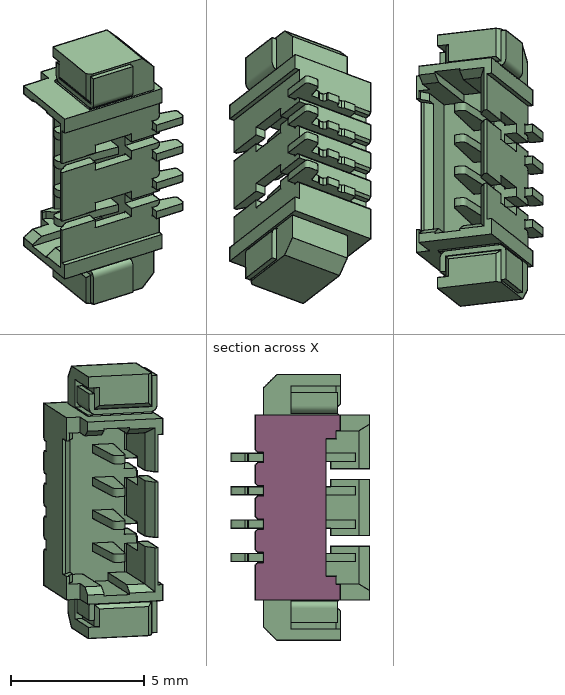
import cadquery as cq

HOUSING_WIDTH = 3.45
HOUSING_DEPTH = 4.30
HOUSING_HALF_HEIGHT = 3.47
CUT_CLEARANCE = 1.0

CORNER_SETBACK_X = 0.53
CORNER_SETBACK_Y = 1.10
PLAIN_WALL_FRONT_Y = 1.62
PLAIN_WALL_WINDOW_HALF_HEIGHT = 2.575
LEAD_IN_START_X = 0.12
CORNER_LEAD_IN_Y = 1.24
LEAD_IN_DEPTH = 0.31

CAVITY_MIN_X = 0.365
CAVITY_MAX_X = 2.86
CAVITY_HALF_HEIGHT = 2.875
CAVITY_FLOOR_Y = 3.06
FLOOR_BEVEL = 0.06
MOUTH_MAX_X = 3.14
MOUTH_HALF_HEIGHT = 3.12
MOUTH_LEAD_IN_DEPTH = 0.40
KEYWAY_MIN_X = 1.17
KEYWAY_MAX_X = 2.16
KEYWAY_HALF_HEIGHT = 3.18

SLOTTED_WALL_OUTER_X = 3.265
SLOTTED_WALL_HALF_HEIGHT = 2.86
SLOT_BOTTOM_X = CAVITY_MAX_X - FLOOR_BEVEL
SLOT_WIDTH = 0.39
WIDE_SLOT_WIDTH = 1.08
WIDE_SLOT_FRONT_Y = 1.47

PITCH = 1.25
CONTACT_COUNT = 4
CONTACT_THICKNESS = 0.315
CONTACT_BASE_Y = 3.99
CONTACT_MIN_X = 0.855
CONTACT_MAX_X = 3.56
BLADE_ROOT_MIN_X = 1.56
BLADE_ROOT_MAX_X = 2.36
BLADE_TIP_Y = 0.535
BLADE_TIP_MIN_X = 1.70
BLADE_TIP_MAX_X = 2.16
BLADE_TIP_RADIUS = 0.18
FOOT_TOP_Y = 5.21
FOOT_HEEL_X = 2.88
FOOT_TOE_X = 3.01
FOOT_RADIUS = 0.13
SPINE_Y = 4.55
SPINE_END_RADIUS = 0.07
SPINE_BASE_RADIUS = 0.12
BARB_Y = 4.68
BARB_MIN_X = 1.71
BARB_MAX_X = 2.22
RELIEF_Y = 4.49
RELIEF_FLAT = 0.16
RELIEF_SLOPE = 0.09
NOTCH_HALF_WIDTH = 0.19
NOTCH_BEVEL = 0.10

EAR_MIN_X = 0.855
EAR_MAX_X = 3.36
EAR_FRONT_Y = 1.095
EAR_BACK_Y = 3.99
EAR_TOP_Z = 4.985
EAR_BACK_CHAMFER = 0.51
POCKET_BACK_Y = 2.95
POCKET_TOP_Z = 4.555
PLINTH_TOP_Z = 3.515
PLINTH_BEVEL = 0.04
CORE_MIN_X = 1.13
CORE_BEVEL = 0.16
CORE_BEVEL_DEPTH = 0.17

CLIP_FRONT_Y = 1.20
CLIP_MIN_X = 0.915
CLIP_MAX_X = CONTACT_MAX_X
CLIP_SHORT_LEG_Z = 4.315
CLIP_LONG_LEG_Z = 4.90
CLIP_THICKNESS = CLIP_MAX_X - EAR_MAX_X
CLIP_OUTER_RADIUS = 0.27
CORE_BOTTOM_Z = PLINTH_TOP_Z + CLIP_THICKNESS


def block(x_range, y_range, z_range):
    """Axis-aligned box spanning the three given ranges."""
    size = [high - low for low, high in (x_range, y_range, z_range)]
    corner = (x_range[0], y_range[0], z_range[0])
    return cq.Workplane("XY").box(*size, centered=False).translate(corner)


def plate(points, half_height):
    """XY outline extruded symmetrically about Z = 0."""
    return cq.Workplane("XY").polyline(points).close().extrude(half_height, both=True)


def contact_heights():
    return [(i - (CONTACT_COUNT - 1) / 2) * PITCH for i in range(CONTACT_COUNT)]


def cavity_mouth():
    """Tapered lead-in at the open front of the cavity."""
    return (
        cq.Workplane("XZ")
        .moveTo(CAVITY_MIN_X, -MOUTH_HALF_HEIGHT)
        .lineTo(MOUTH_MAX_X, -MOUTH_HALF_HEIGHT)
        .lineTo(MOUTH_MAX_X, MOUTH_HALF_HEIGHT)
        .lineTo(CAVITY_MIN_X, MOUTH_HALF_HEIGHT)
        .close()
        .workplane(offset=-MOUTH_LEAD_IN_DEPTH)
        .moveTo(CAVITY_MIN_X, -CAVITY_HALF_HEIGHT)
        .lineTo(CAVITY_MAX_X, -CAVITY_HALF_HEIGHT)
        .lineTo(CAVITY_MAX_X, CAVITY_HALF_HEIGHT)
        .lineTo(CAVITY_MIN_X, CAVITY_HALF_HEIGHT)
        .close()
        .loft(ruled=True)
    )


def wall_lead_in(start_y, half_height):
    """Sloping lead-in along the inside of the plain wall."""
    return plate(
        [
            (LEAD_IN_START_X, 0),
            (LEAD_IN_START_X, start_y),
            (CAVITY_MIN_X, start_y + LEAD_IN_DEPTH),
            (CAVITY_MIN_X, 0),
        ],
        half_height,
    )


def cut_cavity(housing):
    main = plate(
        [
            (CAVITY_MIN_X, 0),
            (CAVITY_MIN_X, CAVITY_FLOOR_Y),
            (CAVITY_MAX_X - FLOOR_BEVEL, CAVITY_FLOOR_Y),
            (CAVITY_MAX_X, CAVITY_FLOOR_Y - FLOOR_BEVEL),
            (CAVITY_MAX_X, 0),
        ],
        CAVITY_HALF_HEIGHT,
    )
    keyways = block(
        (KEYWAY_MIN_X, KEYWAY_MAX_X),
        (0, CAVITY_FLOOR_Y),
        (-KEYWAY_HALF_HEIGHT, KEYWAY_HALF_HEIGHT),
    )
    corner_lead_in = wall_lead_in(CORNER_LEAD_IN_Y, CAVITY_HALF_HEIGHT)
    window_lead_in = wall_lead_in(PLAIN_WALL_FRONT_Y, PLAIN_WALL_WINDOW_HALF_HEIGHT)
    for void in (main, keyways, cavity_mouth(), corner_lead_in, window_lead_in):
        housing = housing.cut(void)
    return housing


def cut_plain_wall(housing):
    """Set back the front of the low-X wall, further still between its two corners."""
    overshoot = HOUSING_HALF_HEIGHT + CUT_CLEARANCE
    setback = block(
        (-CUT_CLEARANCE, CORNER_SETBACK_X),
        (-CUT_CLEARANCE, CORNER_SETBACK_Y),
        (-overshoot, overshoot),
    )
    window = block(
        (-CUT_CLEARANCE, CAVITY_MIN_X),
        (-CUT_CLEARANCE, PLAIN_WALL_FRONT_Y),
        (-PLAIN_WALL_WINDOW_HALF_HEIGHT, PLAIN_WALL_WINDOW_HALF_HEIGHT),
    )
    return housing.cut(setback).cut(window)


def cut_slotted_wall(housing):
    """Recess the high-X side and cut its two T-shaped slots."""
    outer_x = HOUSING_WIDTH + CUT_CLEARANCE
    full_depth = (-CUT_CLEARANCE, HOUSING_DEPTH + CUT_CLEARANCE)
    recess = block(
        (SLOTTED_WALL_OUTER_X, outer_x),
        full_depth,
        (-SLOTTED_WALL_HALF_HEIGHT, SLOTTED_WALL_HALF_HEIGHT),
    )
    housing = housing.cut(recess)
    for z in (-PITCH, PITCH):
        narrow = block(
            (SLOT_BOTTOM_X, outer_x),
            full_depth,
            (z - SLOT_WIDTH / 2, z + SLOT_WIDTH / 2),
        )
        wide = block(
            (SLOT_BOTTOM_X, outer_x),
            (WIDE_SLOT_FRONT_Y, CAVITY_FLOOR_Y),
            (z - WIDE_SLOT_WIDTH / 2, z + WIDE_SLOT_WIDTH / 2),
        )
        housing = housing.cut(narrow).cut(wide)
    return housing


def cut_contact_notches(housing):
    """Bevelled grooves across the back, one for each contact."""
    mouth_half_width = NOTCH_HALF_WIDTH + NOTCH_BEVEL
    profile = [
        (CONTACT_BASE_Y, -NOTCH_HALF_WIDTH),
        (HOUSING_DEPTH - NOTCH_BEVEL, -NOTCH_HALF_WIDTH),
        (HOUSING_DEPTH, -mouth_half_width),
        (HOUSING_DEPTH, mouth_half_width),
        (HOUSING_DEPTH - NOTCH_BEVEL, NOTCH_HALF_WIDTH),
        (CONTACT_BASE_Y, NOTCH_HALF_WIDTH),
    ]
    notch = cq.Workplane("YZ").polyline(profile).close().extrude(HOUSING_WIDTH)
    for z in contact_heights():
        housing = housing.cut(notch.translate((0, 0, z)))
    return housing


def make_housing():
    housing = block(
        (0, HOUSING_WIDTH),
        (0, HOUSING_DEPTH),
        (-HOUSING_HALF_HEIGHT, HOUSING_HALF_HEIGHT),
    )
    housing = cut_cavity(housing)
    housing = cut_plain_wall(housing)
    housing = cut_slotted_wall(housing)
    return cut_contact_notches(housing)


def make_blade():
    """Tapered mating blade with a rounded tip."""
    blade = plate(
        [
            (BLADE_ROOT_MIN_X, CONTACT_BASE_Y),
            (BLADE_ROOT_MIN_X, CAVITY_FLOOR_Y),
            (BLADE_TIP_MIN_X, BLADE_TIP_Y),
            (BLADE_TIP_MAX_X, BLADE_TIP_Y),
            (BLADE_ROOT_MAX_X, CAVITY_FLOOR_Y),
            (BLADE_ROOT_MAX_X, CONTACT_BASE_Y),
        ],
        CONTACT_THICKNESS / 2,
    )
    for x in (BLADE_TIP_MIN_X, BLADE_TIP_MAX_X):
        corner = cq.selectors.NearestToPointSelector((x, BLADE_TIP_Y, 0))
        blade = blade.edges("|Z").edges(corner).fillet(BLADE_TIP_RADIUS)
    return blade


def make_tail():
    """Spine along the back of the housing, with a barb and an upright solder foot."""
    relief_end_x = BARB_MAX_X + RELIEF_SLOPE + RELIEF_FLAT
    relief_start_x = BARB_MIN_X - RELIEF_SLOPE - RELIEF_FLAT
    tail = plate(
        [
            (CONTACT_MIN_X, CONTACT_BASE_Y),
            (CONTACT_MIN_X, SPINE_Y),
            (relief_start_x - RELIEF_SLOPE, SPINE_Y),
            (relief_start_x, RELIEF_Y),
            (BARB_MIN_X - RELIEF_SLOPE, RELIEF_Y),
            (BARB_MIN_X, RELIEF_Y + RELIEF_SLOPE),
            (BARB_MIN_X, BARB_Y),
            (BARB_MAX_X, BARB_Y),
            (BARB_MAX_X, RELIEF_Y + RELIEF_SLOPE),
            (BARB_MAX_X + RELIEF_SLOPE, RELIEF_Y),
            (relief_end_x, RELIEF_Y),
            (relief_end_x + RELIEF_SLOPE, SPINE_Y),
            (FOOT_HEEL_X, SPINE_Y),
            (FOOT_TOE_X, FOOT_TOP_Y),
            (CONTACT_MAX_X, FOOT_TOP_Y),
            (CONTACT_MAX_X, CONTACT_BASE_Y),
        ],
        CONTACT_THICKNESS / 2,
    )
    rounded_corners = (
        (CONTACT_MIN_X, CONTACT_BASE_Y, SPINE_BASE_RADIUS),
        (CONTACT_MIN_X, SPINE_Y, SPINE_END_RADIUS),
        (FOOT_HEEL_X, SPINE_Y, SPINE_END_RADIUS),
        (FOOT_TOE_X, FOOT_TOP_Y, FOOT_RADIUS),
        (CONTACT_MAX_X, FOOT_TOP_Y, FOOT_RADIUS),
    )
    for x, y, radius in rounded_corners:
        corner = cq.selectors.NearestToPointSelector((x, y, 0))
        tail = tail.edges("|Z").edges(corner).fillet(radius)
    return tail


def make_ear():
    """Upper mounting ear, pocketed around the clip."""
    profile = [
        (EAR_FRONT_Y, HOUSING_HALF_HEIGHT),
        (EAR_FRONT_Y, EAR_TOP_Z),
        (EAR_BACK_Y - EAR_BACK_CHAMFER, EAR_TOP_Z),
        (EAR_BACK_Y, EAR_TOP_Z - EAR_BACK_CHAMFER),
        (EAR_BACK_Y, HOUSING_HALF_HEIGHT),
    ]
    ear = (
        cq.Workplane("YZ", origin=(EAR_MIN_X, 0, 0))
        .polyline(profile)
        .close()
        .extrude(EAR_MAX_X - EAR_MIN_X)
    )
    pocket_depth = (0, POCKET_BACK_Y)
    side_pocket = block((0, CORE_MIN_X), pocket_depth, (HOUSING_HALF_HEIGHT, POCKET_TOP_Z))
    under_pocket = block((0, HOUSING_WIDTH), pocket_depth, (HOUSING_HALF_HEIGHT, CORE_BOTTOM_Z))
    return ear.cut(side_pocket).cut(under_pocket).cut(core_bevels()).union(make_plinth())


def core_bevels():
    """Wedges that bevel three front edges of the ear core."""
    bevel_end_y = EAR_FRONT_Y + CORE_BEVEL_DEPTH

    def upright_wedge(edge_x, inward, height):
        return (
            cq.Workplane("XY", origin=(edge_x, EAR_FRONT_Y, HOUSING_HALF_HEIGHT))
            .lineTo(inward * CORE_BEVEL, 0)
            .lineTo(0, CORE_BEVEL_DEPTH)
            .close()
            .extrude(height)
        )

    inner_side = upright_wedge(CORE_MIN_X, 1, POCKET_TOP_Z - HOUSING_HALF_HEIGHT)
    outer_side = upright_wedge(EAR_MAX_X, -1, EAR_TOP_Z - HOUSING_HALF_HEIGHT)
    underside = (
        cq.Workplane("YZ", origin=(CORE_MIN_X, 0, 0))
        .moveTo(EAR_FRONT_Y, CORE_BOTTOM_Z)
        .lineTo(EAR_FRONT_Y, CORE_BOTTOM_Z + CORE_BEVEL)
        .lineTo(bevel_end_y, CORE_BOTTOM_Z)
        .close()
        .extrude(EAR_MAX_X - CORE_MIN_X)
    )
    return inner_side.union(outer_side).union(underside)


def make_plinth():
    """Low step between the housing and the clip, bevelled along its front."""
    profile = [
        (CLIP_FRONT_Y - PLINTH_BEVEL, HOUSING_HALF_HEIGHT),
        (CLIP_FRONT_Y, PLINTH_TOP_Z),
        (POCKET_BACK_Y, PLINTH_TOP_Z),
        (POCKET_BACK_Y, HOUSING_HALF_HEIGHT),
    ]
    return (
        cq.Workplane("YZ", origin=(EAR_MIN_X, 0, 0))
        .polyline(profile)
        .close()
        .extrude(EAR_MAX_X - EAR_MIN_X)
    )


def make_clip():
    """J-shaped metal strip: short leg, base under the core and long solder leg."""
    outline = [
        (CLIP_MIN_X, CLIP_SHORT_LEG_Z),
        (CORE_MIN_X, CLIP_SHORT_LEG_Z),
        (CORE_MIN_X, CORE_BOTTOM_Z),
        (EAR_MAX_X, CORE_BOTTOM_Z),
        (EAR_MAX_X, CLIP_LONG_LEG_Z),
        (CLIP_MAX_X, CLIP_LONG_LEG_Z),
        (CLIP_MAX_X, PLINTH_TOP_Z),
        (CLIP_MIN_X, PLINTH_TOP_Z),
    ]
    clip = (
        cq.Workplane("XZ", origin=(0, CLIP_FRONT_Y, 0))
        .polyline(outline)
        .close()
        .extrude(CLIP_FRONT_Y - POCKET_BACK_Y)
    )
    middle_y = (CLIP_FRONT_Y + POCKET_BACK_Y) / 2
    for x in (CLIP_MIN_X, CLIP_MAX_X):
        corner = cq.selectors.NearestToPointSelector((x, middle_y, PLINTH_TOP_Z))
        clip = clip.edges("|Y").edges(corner).fillet(CLIP_OUTER_RADIUS)
    return clip


result = make_housing()
contact = make_blade().union(make_tail())
for contact_z in contact_heights():
    result = result.union(contact.translate((0, 0, contact_z)))
upper_mount = make_ear().union(make_clip())
result = result.union(upper_mount).union(upper_mount.mirror("XY"))